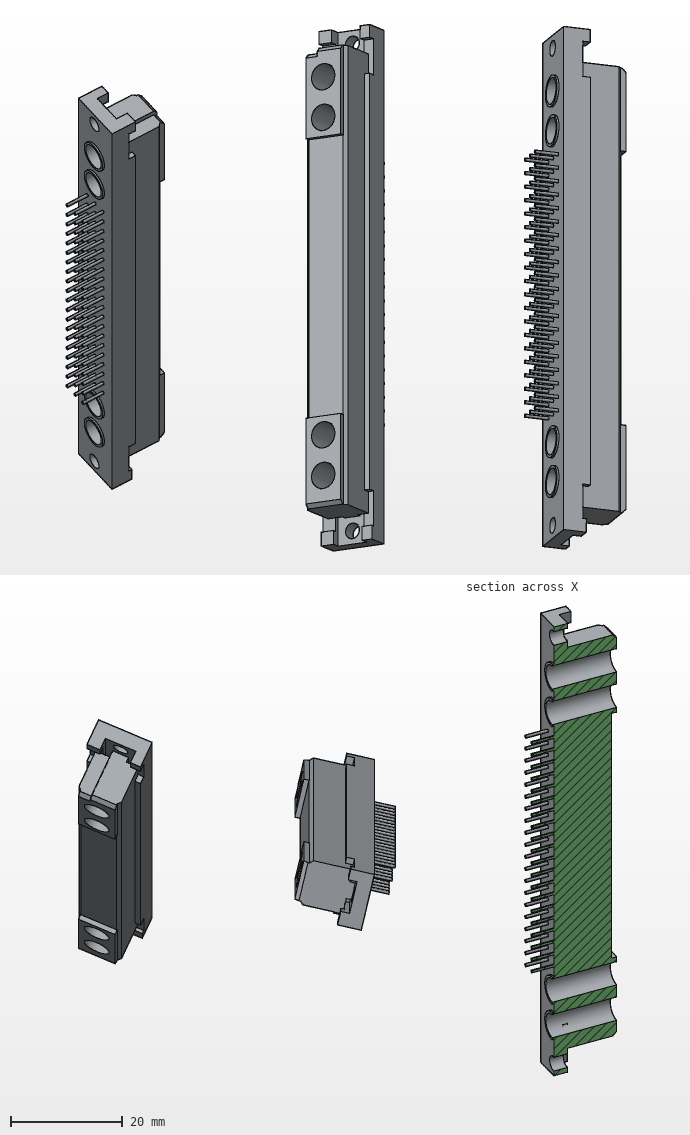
import cadquery as cq


length = 94.9
flange_width = 10.5
flange_depth = 5.1
recess_depth = 3.7
rail_end = 38.4
top_lip = 2.4
bottom_lip = 2.6
bottom_lip_depth = 4.4

end_shift = -0.3
channel_width = 6.0
channel_floor = 2.75
mount_hole_diameter = 2.8
mount_hole_z = 45.0

body_width = 8.35
body_back = 11.7
body_end = 42.4
body_chamfer = 0.7
key_width = 3.1
step_drop = 0.95

pad_back = 12.6
pad_start = 25.8
pad_width = 7.2
pad_chamfer = 0.8

eyelet_outer = 5.8
eyelet_bore = 4.8
eyelet_height = 0.4
eyelet_z = (29.3, 36.8)

pin_diameter = 0.6
pin_length = 4.5
pin_rows = 20
pin_columns = 3
pin_span = 48.3
pin_column_pitch = 2.5

half_length = length / 2
key_right = end_shift + key_width / 2


def block(x_range, y_range, z_range):
    """Box between two limits on each axis."""
    limits = (x_range, y_range, z_range)
    sizes = [high - low for low, high in limits]
    corner = tuple(low for low, high in limits)
    return cq.Workplane("XY").box(*sizes, centered=False).translate(corner)


def centred(width, middle=0.0):
    """Limits of a width placed about a middle."""
    return (middle - width / 2, middle + width / 2)


def cylinder_along_y(diameter, x, z, y_range):
    """Round bar parallel to Y."""
    start, end = y_range
    base = cq.Workplane("XZ", origin=(x, start, z))
    return base.circle(diameter / 2).extrude(start - end)


def make_flange():
    """Side profile with the rails and lips, then channels and mounting holes at both ends."""
    profile = [
        (0, -half_length),
        (bottom_lip_depth, -half_length),
        (bottom_lip_depth, bottom_lip - half_length),
        (recess_depth, bottom_lip - half_length),
        (recess_depth, -rail_end),
        (flange_depth, -rail_end),
        (flange_depth, rail_end),
        (recess_depth, rail_end),
        (recess_depth, half_length - top_lip),
        (flange_depth, half_length - top_lip),
        (flange_depth, half_length),
        (0, half_length),
    ]
    flange = cq.Workplane("YZ").polyline(profile).close().extrude(flange_width / 2, both=True)
    for z_range in ((-half_length, -rail_end), (rail_end, half_length)):
        flange = flange.cut(block(centred(channel_width, end_shift), (channel_floor, flange_depth), z_range))
    for z in (-mount_hole_z, mount_hole_z):
        hole = cq.Workplane("XZ", origin=(end_shift, 0, z)).circle(mount_hole_diameter / 2)
        flange = flange.cut(hole.extrude(-flange_depth))
    return flange


def make_body():
    """Long bar with chamfered back edges and a key reaching down to the channel floor."""
    bar = block(centred(body_width), (recess_depth, body_back), (-body_end, body_end))
    bar = bar.faces(">Y").edges("|Z").chamfer(body_chamfer)
    key = block(centred(key_width, end_shift), (channel_floor, recess_depth), (-body_end, body_end))
    return bar.union(key)


def make_pad(x_range, outer_end):
    """Upper pad strip with its outer end chamfered."""
    pad = block(x_range, (recess_depth, pad_back), (pad_start, outer_end))
    return pad.faces(">Z").edges(">Y").chamfer(pad_chamfer)


def make_shell():
    """Body with a pad near each end and one lowered corner at the upper end."""
    low_end = body_end - step_drop
    lowered_corner = block((key_right, flange_width), (recess_depth, pad_back), (low_end, body_end))
    pad_left, pad_right = centred(pad_width)
    upper_pad = make_pad((pad_left, key_right), body_end).union(make_pad((key_right, pad_right), low_end))
    lower_pad = make_pad((pad_left, pad_right), body_end).mirror("XY")
    return make_body().cut(lowered_corner).union(upper_pad).union(lower_pad)


def add_eyelets(part):
    """Raised rims on the front face, bored through the whole part."""
    for height in eyelet_z:
        for z in (-height, height):
            part = part.union(cylinder_along_y(eyelet_outer, 0, z, (-eyelet_height, channel_floor)))
            part = part.cut(cylinder_along_y(eyelet_bore, 0, z, (-eyelet_height, pad_back)))
    return part


def make_pins():
    """Grid of round contact pins, rooted inside the flange."""
    grid = cq.Workplane("XZ", origin=(0, channel_floor, 0))
    grid = grid.rarray(pin_column_pitch, pin_span / (pin_rows - 1), pin_columns, pin_rows)
    return grid.circle(pin_diameter / 2).extrude(channel_floor + pin_length)


result = add_eyelets(make_flange().union(make_shell())).union(make_pins())